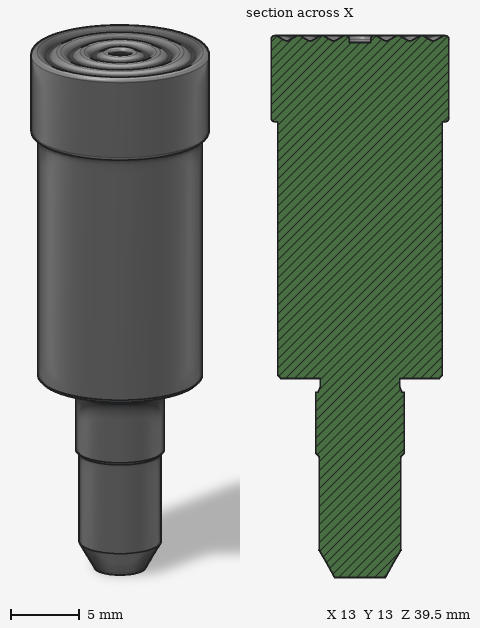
import cadquery as cq
import math

total_height = 39.5
head_height = 6.32
body_bottom = 14.5
collar_top = 13.5
collar_bottom = 8.8
tip_height = 2.0

head_diameter = 13.0
head_radius = head_diameter / 2
body_radius = 6.0
neck_radius = 2.92
collar_radius = 3.25
pin_radius = 3.0
tip_radius = 1.85

edge_round = 0.3
body_chamfer = 0.25
neck_arc_radius = 0.55
neck_flare_angle = math.radians(25)
neck_flare_height = 0.25

ripple_slope = math.radians(30)
ripple_valleys = 3
center_hole_diameter = 1.55
center_hole_radius = center_hole_diameter / 2
center_hole_depth = 0.5

head_bottom = total_height - head_height
outer_crest = head_radius - edge_round
inner_crest = center_hole_radius + edge_round
ripple_step = (outer_crest - inner_crest) / (2 * ripple_valleys)
arc_half_width = edge_round * math.sin(ripple_slope)
arc_rise = edge_round * (1 - math.cos(ripple_slope))
flank_drop = (ripple_step - 2 * arc_half_width) * math.tan(ripple_slope)
valley_z = total_height - flank_drop - 2 * arc_rise
diagonal = math.sqrt(0.5)


def add_ripples(profile):
    """Extend the profile inward from the outer crest to the inner crest."""
    profile = profile.threePointArc(
        (head_radius - edge_round * (1 - diagonal), total_height - edge_round * (1 - diagonal)),
        (outer_crest, total_height),
    )
    profile = profile.threePointArc(
        (outer_crest - edge_round * math.sin(ripple_slope / 2),
         total_height - edge_round * (1 - math.cos(ripple_slope / 2))),
        (outer_crest - arc_half_width, total_height - arc_rise),
    )
    for index in range(1, 2 * ripple_valleys):
        radius = outer_crest - index * ripple_step
        is_valley = index % 2 == 1
        middle_z = valley_z if is_valley else total_height
        end_z = valley_z + arc_rise if is_valley else total_height - arc_rise
        profile = profile.lineTo(radius + arc_half_width, end_z)
        profile = profile.threePointArc((radius, middle_z), (radius - arc_half_width, end_z))
    return profile.lineTo(inner_crest + arc_half_width, total_height - arc_rise).threePointArc(
        (inner_crest, total_height), (center_hole_radius, total_height - edge_round)
    )


def add_neck(profile):
    """Extend the profile up from a flat collar shoulder through a flare and concave arc to the body."""
    arc_width = neck_arc_radius * (1 - math.cos(neck_flare_angle))
    flare_width = neck_flare_height * math.tan(neck_flare_angle)
    arc_bottom = collar_top + neck_flare_height
    arc_top = arc_bottom + neck_arc_radius * math.sin(neck_flare_angle)
    arc_middle = (
        neck_radius + neck_arc_radius * (1 - math.cos(neck_flare_angle / 2)),
        arc_top - neck_arc_radius * math.sin(neck_flare_angle / 2),
    )
    return (
        profile.lineTo(neck_radius + arc_width + flare_width, collar_top)
        .lineTo(neck_radius + arc_width, arc_bottom)
        .threePointArc(arc_middle, (neck_radius, arc_top))
        .lineTo(neck_radius, body_bottom)
    )


collar_chamfer = collar_radius - pin_radius
profile = (
    cq.Workplane("XZ")
    .lineTo(tip_radius, 0)
    .lineTo(pin_radius, tip_height)
    .lineTo(pin_radius, collar_bottom)
    .lineTo(collar_radius, collar_bottom + collar_chamfer)
    .lineTo(collar_radius, collar_top)
)
profile = (
    add_neck(profile)
    .lineTo(body_radius - body_chamfer, body_bottom)
    .lineTo(body_radius, body_bottom + body_chamfer)
    .lineTo(body_radius, head_bottom)
    .lineTo(head_radius - edge_round, head_bottom)
    .threePointArc(
        (head_radius - edge_round * (1 - diagonal), head_bottom + edge_round * (1 - diagonal)),
        (head_radius, head_bottom + edge_round),
    )
    .lineTo(head_radius, total_height - edge_round)
)
profile = (
    add_ripples(profile)
    .lineTo(center_hole_radius, total_height - center_hole_depth)
    .lineTo(0, total_height - center_hole_depth)
    .close()
)

result = profile.revolve(360, (0, 0, 0), (0, 1, 0))